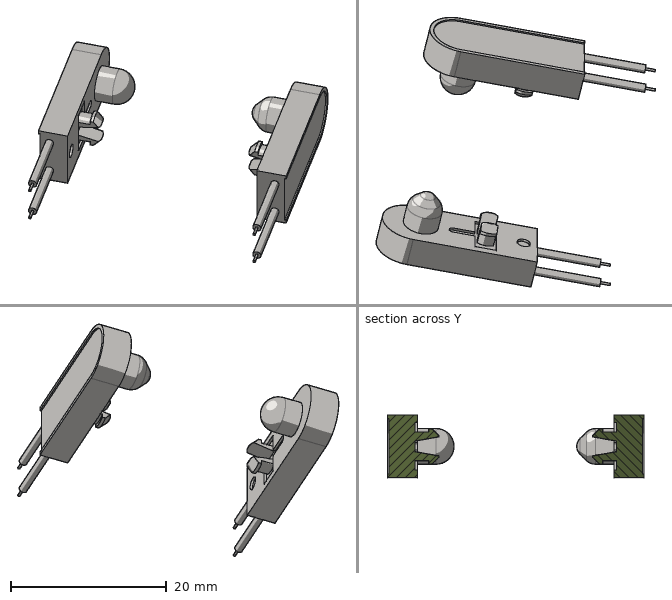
import cadquery as cq
import math

span = 33.02
housing_length = 20.37
housing_height = 8.12
housing_thickness = 3.9
end_radius = housing_height / 2
post_y = 6.77

back_rim = 0.53
back_depth = 0.2

face_recess_depth = 0.33
window_width = 2.85
window_height = 6.08
dimple_diameter = 1.72
dimple_y = 1.78
keyway_width = 1.0
keyway_end_y = 11.55

lens_y = 15.32
lens_radius = 2.3
lens_barrel = 2.38
lens_edge_radius = 1.65
lens_cone_angle = 45.0
lens_cone_length = 0.83

post_width = 2.15
stem_radius = 1.85
barb_radius = 2.28
barb_start = 1.42
barb_straight_end = 1.85
post_length = 2.77
tip_radius = barb_radius - (post_length - barb_straight_end)
slot_base_half = 0.73
slot_tip_half = 1.22

lead_x = 1.5
lead_z = 2.35
lead_diameter = 1.1
core_diameter = 0.33
core_length = 1.32
emitter_lead_length = 8.25
receiver_lead_length = 8.78


def tongue(half_height, length):
    """Outline in the YZ plane: square at the lead end, semicircular at the other."""
    straight = length - half_height
    return (
        cq.Workplane("YZ")
        .moveTo(0, -half_height)
        .lineTo(straight, -half_height)
        .threePointArc((length, 0), (straight, half_height))
        .lineTo(0, half_height)
        .close()
    )


def housing_shell():
    shell = tongue(end_radius, housing_length).extrude(housing_thickness)
    back_recess = tongue(end_radius - back_rim, housing_length - back_rim).extrude(back_depth)
    floor = cq.Workplane("YZ", origin=(housing_thickness - face_recess_depth, 0, 0))
    window = floor.center(post_y, 0).rect(window_width, window_height).extrude(face_recess_depth)
    dimple = floor.center(dimple_y, 0).circle(dimple_diameter / 2).extrude(face_recess_depth)
    keyway = tongue(keyway_width / 2, keyway_end_y - post_y).extrude(face_recess_depth)
    keyway = keyway.translate((housing_thickness - face_recess_depth, post_y, 0))
    return shell.cut(back_recess).cut(window).cut(dimple).cut(keyway)


def turned(profile, y):
    """Turn a closed profile of (axial, radial) coordinates about the X axis, set on the inner face."""
    return profile.revolve(360, (0, 0, 0), (1, 0, 0)).translate((housing_thickness, y, 0))


def round_lens():
    bend = math.sqrt(0.5) * lens_radius
    profile = (
        cq.Workplane("XY")
        .lineTo(0, lens_radius)
        .lineTo(lens_barrel, lens_radius)
        .threePointArc((lens_barrel + bend, bend), (lens_barrel + lens_radius, 0))
        .close()
    )
    return turned(profile, lens_y)


def conical_lens():
    diagonal = math.cos(math.radians(lens_cone_angle))
    cone_start_x = lens_barrel + lens_edge_radius * diagonal
    cone_start_r = lens_radius - lens_edge_radius * (1 - diagonal)
    cone_end_x = cone_start_x + lens_cone_length
    cone_end_r = cone_start_r - lens_cone_length
    tip_round = cone_end_r / diagonal
    tip_x = cone_end_x + tip_round * (1 - diagonal)
    arc_half_angle = math.radians(lens_cone_angle / 2)
    edge_mid = (
        lens_barrel + lens_edge_radius * math.sin(arc_half_angle),
        lens_radius - lens_edge_radius * (1 - math.cos(arc_half_angle)),
    )
    tip_mid = (
        tip_x - tip_round * (1 - math.cos(arc_half_angle)),
        tip_round * math.sin(arc_half_angle),
    )
    profile = (
        cq.Workplane("XY")
        .lineTo(0, lens_radius)
        .lineTo(lens_barrel, lens_radius)
        .threePointArc(edge_mid, (cone_start_x, cone_start_r))
        .lineTo(cone_end_x, cone_end_r)
        .threePointArc(tip_mid, (tip_x, 0))
        .close()
    )
    return turned(profile, lens_y)


def snap_post():
    root = -face_recess_depth
    profile = cq.Workplane("XY").polyline([
        (root, 0),
        (root, stem_radius),
        (barb_start, stem_radius),
        (barb_start, barb_radius),
        (barb_straight_end, barb_radius),
        (post_length, tip_radius),
        (post_length, 0),
    ]).close()
    slab = cq.Workplane("XY").box(2 * housing_thickness, post_width, housing_height)
    slab = slab.translate((housing_thickness, post_y, 0))
    slot_slope = (slot_tip_half - slot_base_half) / post_length
    slot_root_half = slot_base_half + slot_slope * root
    slot = (
        cq.Workplane("XZ")
        .polyline([
            (root, -slot_root_half),
            (post_length, -slot_tip_half),
            (post_length, slot_tip_half),
            (root, slot_root_half),
        ])
        .close()
        .extrude(post_width, both=True)
        .translate((housing_thickness, post_y, 0))
    )
    return turned(profile, post_y).intersect(slab).cut(slot)


def leads(insulated_length):
    end_face = cq.Workplane("XZ").pushPoints([(lead_x, -lead_z), (lead_x, lead_z)])
    insulation = end_face.circle(lead_diameter / 2).extrude(insulated_length)
    cores = end_face.circle(core_diameter / 2).extrude(insulated_length + core_length)
    return insulation.union(cores)


def sensor_half(lens, insulated_length):
    """One complete half, with its outer face on X = 0 and its lens toward +X."""
    return housing_shell().union(lens).union(snap_post()).union(leads(insulated_length))


emitter = sensor_half(round_lens(), emitter_lead_length)
receiver = sensor_half(conical_lens(), receiver_lead_length)
receiver = receiver.mirror("YZ").translate((span, 0, 0))

result = cq.Compound.makeCompound([emitter.val(), receiver.val()])